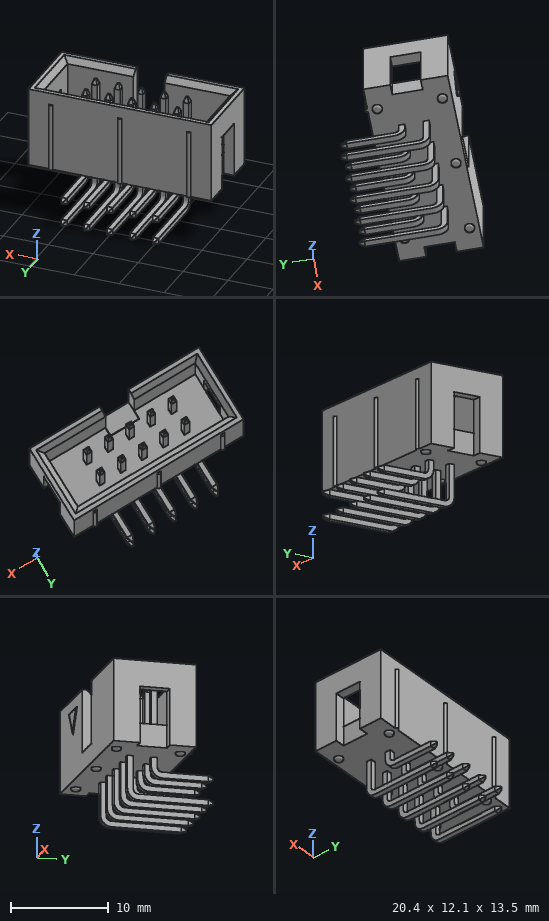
import cadquery as cq
import math


length = 20.35
depth = 8.81
height = 8.81
front_y = -depth / 2
back_y = depth / 2

wall = 1.14
rim = 0.5
lead_in_depth = 0.61
floor_z = 2.42

key_width = 3.44
key_bottom_z = 2.05
key_reach = 2.12

window_width = 3.17
window_top_z = 6.02

pitch = 2.55
pins_per_row = 5
pin_width = 0.63
pin_recess = 0.55
pin_top_z = height - pin_recess
tip_length = 0.57
tip_width = 0.22
pin_bottom_z = -4.68
tail_reach = 3.2
tail_end_y = back_y + tail_reach
bend_inner_radius = 0.5
pin_columns = [(i - (pins_per_row - 1) / 2) * pitch for i in range(pins_per_row)]

rib_spacing = 7.67
rib_radius = 0.22
rib_height = 7.5
foot_radius = 0.5
foot_height = 0.26
foot_edge_radius = 0.25
foot_offset_y = 3.4
rib_columns = [-rib_spacing, 0, rib_spacing]

mark_side = 3.0
mark_height = 0.1
mark_drop = 1.3
mark_top_z = height - mark_drop
mark_taper = 45


def box(x_size, y_min, y_max, z_min, z_max, x_center=0.0):
    """Block centred on x_center that spans the given Y and Z ranges."""
    block = cq.Workplane("XY").box(x_size, y_max - y_min, z_max - z_min, centered=(True, False, False))
    return block.translate((x_center, y_min, z_min))


def make_housing():
    body = box(length, front_y, back_y, 0, height)
    cavity = box(length - 2 * wall, front_y + wall, back_y - wall, floor_z, height)
    lead_in = (
        cq.Workplane("XY", origin=(0, 0, height))
        .rect(length - 2 * rim, depth - 2 * rim)
        .workplane(offset=-lead_in_depth)
        .rect(length - 2 * wall, depth - 2 * wall)
        .loft(ruled=True)
    )
    key_slot = box(key_width, front_y, front_y + key_reach, key_bottom_z, height)
    body = body.cut(cavity).cut(lead_in).cut(key_slot)
    for side in (-1, 1):
        window_x = side * (length - wall) / 2
        body = body.cut(box(wall, -window_width / 2, window_width / 2, 0, window_top_z, window_x))
    return body


def make_tip(base_plane):
    """Tapered square point that grows along the normal of base_plane."""
    return (
        cq.Workplane(base_plane)
        .rect(pin_width, pin_width)
        .workplane(offset=tip_length)
        .rect(tip_width, tip_width)
        .loft(ruled=True)
    )


def make_pin(x, y, bottom_z):
    """Upright contact at (x, y) bent toward +Y, its tail resting on bottom_z."""
    tail_z = bottom_z + pin_width / 2
    bend_radius = bend_inner_radius + pin_width / 2
    shank_top_z = pin_top_z - tip_length
    tail_tip_y = tail_end_y - tip_length
    midpoint_shift = bend_radius * (1 - math.sqrt(0.5))
    path = (
        cq.Workplane("YZ", origin=(x, 0, 0))
        .moveTo(y, shank_top_z)
        .lineTo(y, tail_z + bend_radius)
        .threePointArc((y + midpoint_shift, tail_z + midpoint_shift), (y + bend_radius, tail_z))
        .lineTo(tail_tip_y, tail_z)
    )
    shank = cq.Workplane("XY", origin=(x, y, shank_top_z)).rect(pin_width, pin_width).sweep(path)
    top_tip = make_tip(cq.Plane(origin=(x, y, shank_top_z), xDir=(1, 0, 0), normal=(0, 0, 1)))
    tail_tip = make_tip(cq.Plane(origin=(x, tail_tip_y, tail_z), xDir=(1, 0, 0), normal=(0, 1, 0)))
    return shank.union(top_tip).union(tail_tip)


def make_rib(x):
    return cq.Workplane("XY", origin=(x, back_y, 0)).circle(rib_radius).extrude(rib_height)


def make_foot(x, y):
    foot = cq.Workplane("XY", origin=(x, y, 0)).circle(foot_radius).extrude(-foot_height)
    return foot.faces("<Z").edges().fillet(foot_edge_radius)


def make_mark():
    """Downward-pointing triangle with bevelled edges, above the first pin column."""
    x = pin_columns[0]
    apex_z = mark_top_z - mark_side * math.sqrt(3) / 2
    return (
        cq.Workplane("XZ", origin=(0, front_y, 0))
        .moveTo(x - mark_side / 2, mark_top_z)
        .lineTo(x, apex_z)
        .lineTo(x + mark_side / 2, mark_top_z)
        .close()
        .extrude(mark_height, taper=mark_taper)
    )


result = make_housing().union(make_mark())
for column_x in pin_columns:
    result = result.union(make_pin(column_x, -pitch / 2, pin_bottom_z))
    result = result.union(make_pin(column_x, pitch / 2, pin_bottom_z + pitch))
for column_x in rib_columns:
    result = result.union(make_rib(column_x))
    for row_y in (-foot_offset_y, foot_offset_y):
        result = result.union(make_foot(column_x, row_y))